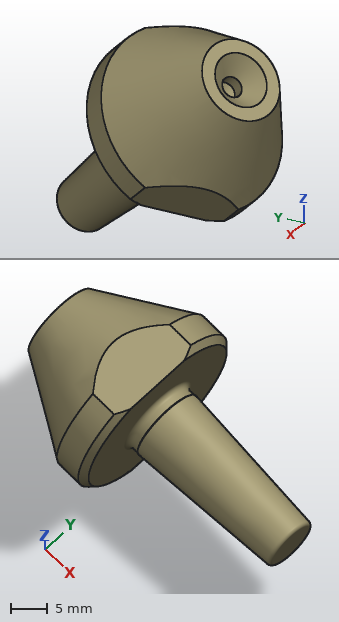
import cadquery as cq
import math

total_length = 45.0
nose_diameter = 12.0
head_diameter = 28.0
cone_length = 13.85
band_end = 18.0
head_length = 19.0
rear_chamfer = head_length - band_end
across_flats = 24.0

neck_diameter = 11.0
neck_end = 20.8
neck_fillet = 0.8
step_rise = 0.1
taper_end_diameter = 8.0
tip_fillet = 0.55

sink_diameter = 8.0
sink_angle = 90.0
pilot_diameter = 3.0
pilot_length = 2.0
drill_point_angle = 120.0


def cone_depth(large_diameter, small_diameter, included_angle):
    """Axial length of a cone between two diameters."""
    return (large_diameter - small_diameter) / 2 / math.tan(math.radians(included_angle / 2))


def revolve_about_x(profile):
    return profile.close().revolve(360, (0, 0, 0), (1, 0, 0))


def make_head():
    head_radius = head_diameter / 2
    profile = (
        cq.Workplane("XY")
        .lineTo(0, nose_diameter / 2)
        .lineTo(cone_length, head_radius)
        .lineTo(band_end, head_radius)
        .lineTo(head_length, head_radius - rear_chamfer)
        .lineTo(head_length, 0)
    )
    slab = cq.Workplane("XY").box(2 * total_length, 2 * head_diameter, across_flats)
    return revolve_about_x(profile).intersect(slab)


def make_shank():
    neck_radius = neck_diameter / 2
    arc_offset = neck_fillet * (1 - math.sqrt(0.5))
    profile = (
        cq.Workplane("XY")
        .moveTo(head_length, 0)
        .lineTo(head_length, neck_radius + neck_fillet)
        .threePointArc(
            (head_length + arc_offset, neck_radius + arc_offset),
            (head_length + neck_fillet, neck_radius),
        )
        .lineTo(neck_end, neck_radius)
        .lineTo(neck_end + step_rise, neck_radius + step_rise)
        .lineTo(total_length, taper_end_diameter / 2)
        .lineTo(total_length, 0)
    )
    return revolve_about_x(profile).faces(">X").edges().fillet(tip_fillet)


def make_center_hole():
    sink_depth = cone_depth(sink_diameter, pilot_diameter, sink_angle)
    pilot_end = sink_depth + pilot_length
    point_depth = cone_depth(pilot_diameter, 0, drill_point_angle)
    profile = (
        cq.Workplane("XY")
        .lineTo(0, sink_diameter / 2)
        .lineTo(sink_depth, pilot_diameter / 2)
        .lineTo(pilot_end, pilot_diameter / 2)
        .lineTo(pilot_end + point_depth, 0)
    )
    return revolve_about_x(profile)


result = make_head().union(make_shank()).cut(make_center_hole())